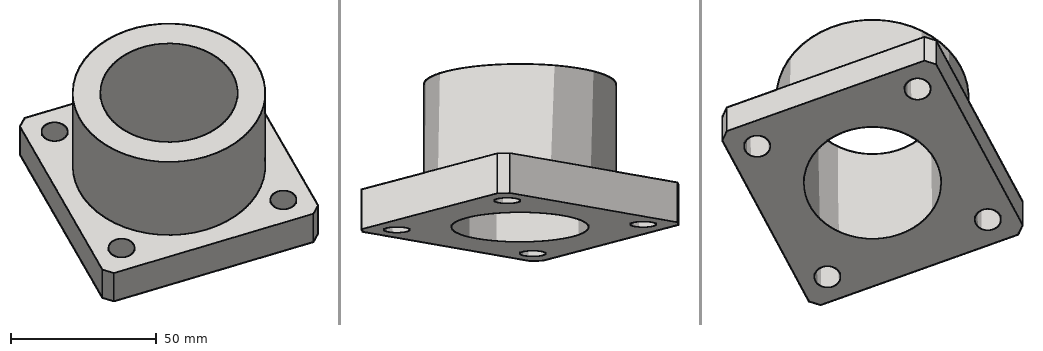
import cadquery as cq

flange_side = 80.0
flange_thickness = 14.0
corner_chamfer = 3.0

total_height = 50.0
collar_diameter = 66.0
bore_diameter = 47.0

bolt_hole_diameter = 9.0
bolt_spacing = 60.0

flange = (
    cq.Workplane("XY")
    .rect(flange_side, flange_side)
    .extrude(flange_thickness)
    .edges("|Z")
    .chamfer(corner_chamfer)
)

collar = cq.Workplane("XY").circle(collar_diameter / 2).extrude(total_height)

bore = cq.Workplane("XY").circle(bore_diameter / 2).extrude(total_height)

bolt_holes = (
    cq.Workplane("XY")
    .rect(bolt_spacing, bolt_spacing, forConstruction=True)
    .vertices()
    .circle(bolt_hole_diameter / 2)
    .extrude(flange_thickness)
)

result = flange.union(collar).cut(bore).cut(bolt_holes)